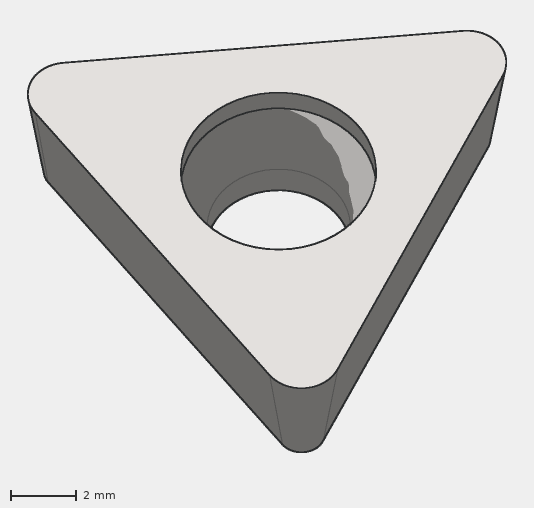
import cadquery as cq
import math

width = 14.74
thickness = 3.97
corner_radius = 1.21
relief_angle = 7.0

hole_radius = 2.2
seat_radius = 2.99
seat_depth = 0.81
throat_depth = 2.86

corner_spacing = width - 2 * corner_radius
corner_distance = corner_spacing / math.sqrt(3)


def corner_point(corner_angle, normal_angle):
    """Point on a corner arc, in the given direction from the arc centre (degrees)."""
    corner = math.radians(corner_angle)
    normal = math.radians(normal_angle)
    return (
        corner_distance * math.cos(corner) + corner_radius * math.cos(normal),
        corner_distance * math.sin(corner) + corner_radius * math.sin(normal),
    )


def make_body():
    """Rounded triangle, tapered from the large top face to the small bottom face."""
    outline = cq.Workplane("XY", origin=(0, 0, thickness)).moveTo(*corner_point(330, 390))
    for angle in (90, 210, 330):
        outline = outline.lineTo(*corner_point(angle, angle - 60))
        outline = outline.threePointArc(corner_point(angle, angle), corner_point(angle, angle + 60))
    return outline.close().extrude(-thickness, taper=relief_angle)


def make_screw_hole():
    """Through hole: straight recess, convex seat tangent to the hole, then the hole."""
    seat_level = thickness - seat_depth
    throat_level = thickness - throat_depth
    return (
        cq.Workplane("XZ")
        .lineTo(hole_radius, 0)
        .lineTo(hole_radius, throat_level)
        .tangentArcPoint((seat_radius, seat_level), relative=False)
        .lineTo(seat_radius, thickness)
        .lineTo(0, thickness)
        .close()
        .revolve(360, (0, 0, 0), (0, 1, 0))
    )


result = make_body().cut(make_screw_hole())